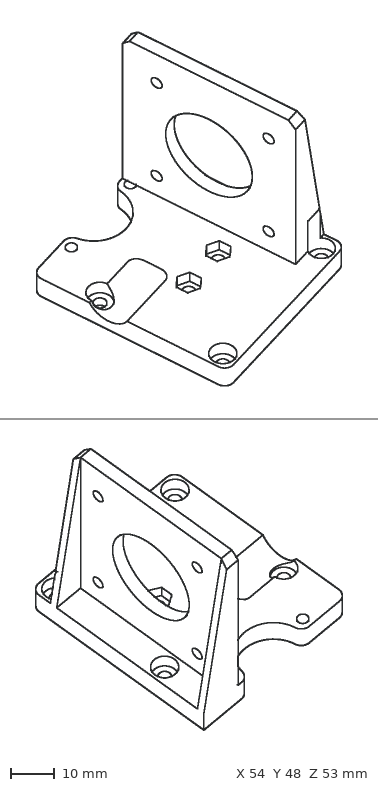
import cadquery as cq

plate_length = 54.0
plate_width = 48.0
plate_thickness = 6.0
corner_radius = 2.5

notch_radius = 9.0
notch_center_x = 0.6
plate_mid_y = plate_width / 2

total_height = 53.0
wall_length = 48.0
wall_base_depth = 11.5
wall_top_depth = 3.5
wall_chamfer = 2.0
gusset_thickness = 2.0
wall_front_y = plate_width - wall_base_depth

motor_bore_diameter = 24.0
motor_bore_x = wall_length / 2
motor_axis_z = 28.0
motor_screw_diameter = 3.0
motor_screw_pitch = 31.0
motor_screw_offset = 1.0

screw_diameter = 3.2
head_diameter = 6.4
head_floor_z = 2.5
head_clearance_z = 16.0
mount_pitch_x = 34.0
mount_pitch_y = 40.0
mount_center_x = 33.0

nut_diameter = 6.4
nut_floor_z = 3.0
nut_x = 31.0
nut_pitch = 12.0

side_hole_diameter = 2.8
side_hole_x = 2.6
side_hole_pitch = 24.0

groove_radius = 6.0
groove_depth = 3.0
groove_length = 18.0
groove_x = 21.0
groove_end_radius = 2.5


def vertical_bore(points, diameter, floor_z, top_z):
    """Round cutters standing at the given XY points."""
    return (
        cq.Workplane("XY", origin=(0, 0, floor_z))
        .pushPoints(points)
        .circle(diameter / 2)
        .extrude(top_z - floor_z)
    )


def make_plate():
    plate = cq.Workplane("XY").box(plate_length, plate_width, plate_thickness, centered=False)
    notch = vertical_bore([(notch_center_x, plate_mid_y)], 2 * notch_radius, 0, plate_thickness)
    sharp_corner = cq.selectors.NearestToPointSelector((0, plate_width, plate_thickness / 2))
    rounded_edges = cq.selectors.StringSyntaxSelector("|Z") - sharp_corner
    plate = plate.cut(notch).edges(rounded_edges).fillet(corner_radius)
    side_holes = [(side_hole_x, plate_mid_y + side * side_hole_pitch / 2) for side in (-1, 1)]
    return plate.cut(vertical_bore(side_holes, side_hole_diameter, 0, plate_thickness))


def make_wall():
    profile = [
        (wall_front_y, plate_thickness),
        (plate_width, plate_thickness),
        (wall_front_y + wall_top_depth, total_height),
        (wall_front_y, total_height),
    ]
    wall = cq.Workplane("YZ").polyline(profile).close().extrude(wall_length)
    outline = (
        cq.Workplane("XZ", origin=(0, plate_width, 0))
        .rect(wall_length, total_height, centered=False)
        .extrude(wall_base_depth)
        .faces(">Z")
        .edges("|Y")
        .chamfer(wall_chamfer)
    )
    gap_length = wall_length - 2 * gusset_thickness
    gap_corner = (gusset_thickness, wall_front_y + wall_top_depth, plate_thickness)
    gap = (
        cq.Workplane("XY", origin=gap_corner)
        .box(gap_length, wall_base_depth - wall_top_depth, total_height - plate_thickness, centered=False)
    )
    return wall.intersect(outline).cut(gap)


def make_motor_cutters():
    rear_plane = cq.Workplane("XZ", origin=(motor_bore_x, plate_width, motor_axis_z))
    bore = rear_plane.circle(motor_bore_diameter / 2).extrude(wall_base_depth)
    screws = (
        rear_plane.center(motor_screw_offset, 0)
        .rect(motor_screw_pitch, motor_screw_pitch, forConstruction=True)
        .vertices()
        .circle(motor_screw_diameter / 2)
        .extrude(wall_base_depth)
    )
    return bore.union(screws)


def make_mount_cutters():
    points = [
        (mount_center_x + side * mount_pitch_x / 2, plate_mid_y + end * mount_pitch_y / 2)
        for side in (-1, 1)
        for end in (-1, 1)
    ]
    heads = vertical_bore(points, head_diameter, head_floor_z, head_clearance_z)
    return heads.union(vertical_bore(points, screw_diameter, 0, plate_thickness))


def make_nut_cutters():
    points = [(nut_x, plate_mid_y - nut_pitch * row / 2) for row in (-1, 1)]
    pockets = (
        cq.Workplane("XY", origin=(0, 0, nut_floor_z))
        .pushPoints(points)
        .polygon(6, nut_diameter)
        .extrude(plate_thickness - nut_floor_z)
    )
    return pockets.union(vertical_bore(points, screw_diameter, 0, plate_thickness))


def make_groove_cutter():
    axis_z = plate_thickness - groove_depth + groove_radius
    return (
        cq.Workplane("XZ", origin=(groove_x, 0, axis_z))
        .circle(groove_radius)
        .extrude(-groove_length)
        .faces(">Y")
        .edges()
        .fillet(groove_end_radius)
    )


result = make_plate().union(make_wall())
for cutter in (make_motor_cutters(), make_mount_cutters(), make_nut_cutters(), make_groove_cutter()):
    result = result.cut(cutter)